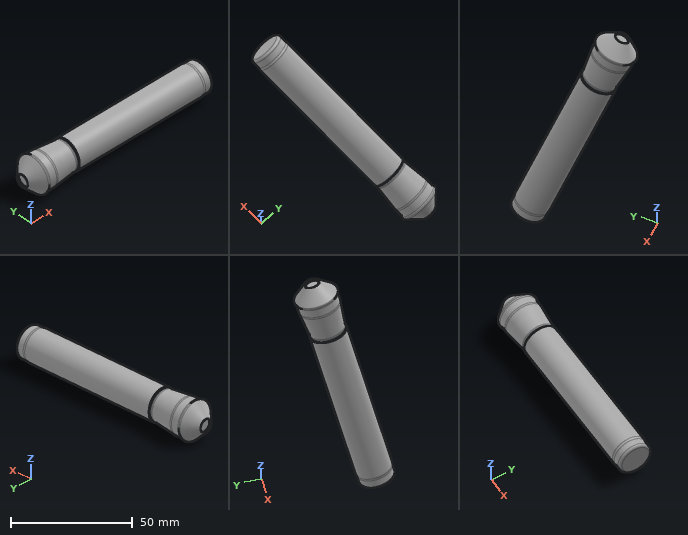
import cadquery as cq
import math

total_length = 100.0
joint_x = 24.5

rim_radius = 9.45
rim_rounding = 0.5
collar_radius = 18.0 / 2
collar_start_x = 7.3
collar_fillet = 0.8
taper_start_x = 11.4
taper_end_x = 23.4
neck_radius = 15.5 / 2
collar_blend_radius = 8.0
neck_blend_radius = 5.0

recess_radius = 3.0
recess_depth = 0.9
lip_rounding = 0.3

shaft_radius = 16.0 / 2
front_chamfer = shaft_radius - neck_radius
shoulder_start_x = 94.7
shoulder_end_x = 95.8
rear_radius = neck_radius
rear_fillet = 1.2


def revolve_about_x(profile):
    """Turn a closed half profile, drawn as (x, radius), around the X axis."""
    return profile.close().revolve(360, (0, 0, 0), (1, 0, 0))


def make_head():
    rim_center_radius = rim_radius - rim_rounding
    fillet_center_radius = collar_radius + collar_fillet
    center_distance = rim_rounding + collar_fillet
    center_rise = fillet_center_radius - rim_center_radius
    center_run = math.sqrt(center_distance**2 - center_rise**2)
    rim_x = collar_start_x - center_run
    rim_share = rim_rounding / center_distance
    rim_back = (rim_x + rim_share * center_run, rim_center_radius + rim_share * center_rise)

    rim_diagonal = rim_rounding * math.sqrt(0.5)
    rim_front = (rim_x - rim_diagonal, rim_center_radius + rim_diagonal)
    lip_center_radius = recess_radius + lip_rounding
    lip_diagonal = lip_rounding * math.sqrt(0.5)
    lip_outer = (lip_rounding - lip_diagonal, lip_center_radius + lip_diagonal)

    taper_angle = math.atan2(collar_radius - neck_radius, taper_end_x - taper_start_x)
    collar_setback = collar_blend_radius * math.tan(taper_angle / 2)
    neck_setback = neck_blend_radius * math.tan(taper_angle / 2)
    taper_front = (
        taper_start_x + collar_setback * math.cos(taper_angle),
        collar_radius - collar_setback * math.sin(taper_angle),
    )
    taper_rear = (
        taper_end_x - neck_setback * math.cos(taper_angle),
        neck_radius + neck_setback * math.sin(taper_angle),
    )

    profile = (
        cq.Workplane("XY")
        .moveTo(recess_depth, 0)
        .lineTo(recess_depth, recess_radius)
        .lineTo(lip_rounding, recess_radius)
        .threePointArc((0, lip_center_radius), lip_outer)
        .lineTo(*rim_front)
        .threePointArc((rim_x, rim_radius), rim_back)
        .radiusArc((collar_start_x, collar_radius), -collar_fillet)
        .lineTo(taper_start_x - collar_setback, collar_radius)
        .radiusArc(taper_front, collar_blend_radius)
        .lineTo(*taper_rear)
        .radiusArc((taper_end_x + neck_setback, neck_radius), -neck_blend_radius)
        .lineTo(joint_x, neck_radius)
        .lineTo(joint_x, 0)
    )
    return revolve_about_x(profile)


def make_shaft():
    profile = (
        cq.Workplane("XY")
        .moveTo(joint_x, 0)
        .lineTo(joint_x, neck_radius)
        .lineTo(joint_x + front_chamfer, shaft_radius)
        .lineTo(shoulder_start_x, shaft_radius)
        .lineTo(shoulder_end_x, rear_radius)
        .lineTo(total_length, rear_radius)
        .lineTo(total_length, 0)
    )
    return revolve_about_x(profile).faces(">X").edges().fillet(rear_fillet)


head = make_head()
shaft = make_shaft()

result = cq.Compound.makeCompound([head.val(), shaft.val()])